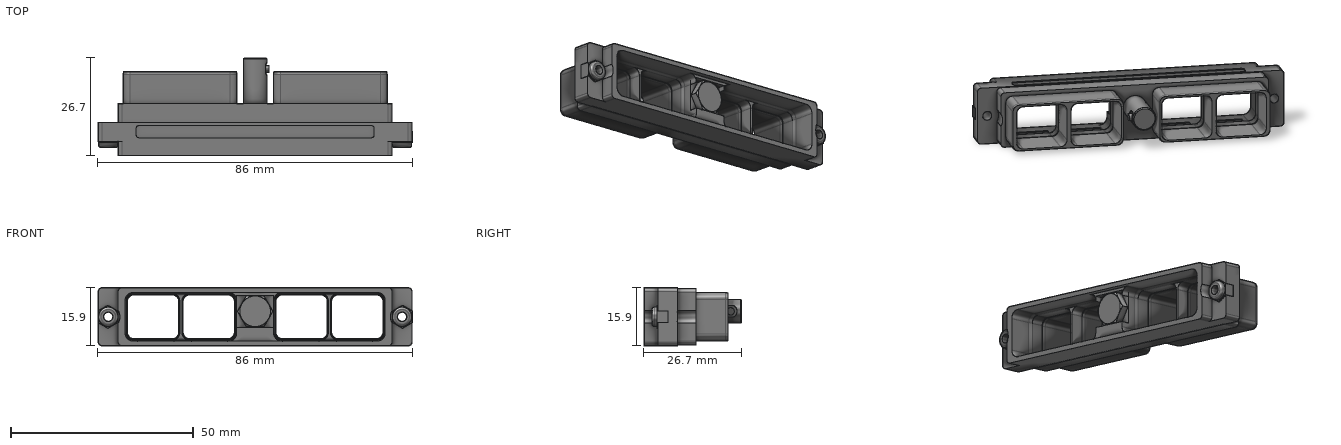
import cadquery as cq
import math


FLANGE_LENGTH = 85.9
FLANGE_FRONT = 3.87
FLANGE_BACK = 9.1
BODY_LENGTH = 75.0
BODY_HEIGHT = 15.93
BODY_BACK = 14.25
REAR_HEIGHT = 15.5
BODY_CORNER = 1.1

HOUSING_INNER = 4.97
HOUSING_OUTER = 36.15
HOUSING_HEIGHT = 13.34
HOUSING_BACK = 23.0
HOUSING_CORNER = 1.9
HOUSING_BEVEL_DEPTH = 0.75
HOUSING_BEVEL_INSET = 0.15

CAVITY_INNER = 5.05
CAVITY_OUTER = 35.6
CAVITY_HEIGHT = 13.26
CAVITY_CORNER = 2.2
MOUTH_DEPTH = 1.75
BEVEL_FRONT = 6.6
BEVEL_BACK = 7.7
BEVEL_INSET = 0.33
BAY_STEP = 11.5
BAY_STEP_INSET = 0.15
LEAD_IN_BACK = 12.4
LEAD_IN_INSET = 0.15
BAY_CORNER = 1.95
SEPARATOR_WIDTH = 0.6

SLOT_CENTERS = (-27.2, -12.5, 12.5, 27.2)
SLOT_LENGTH = 9.9
SLOT_FRONT = 4.2
SLOT_BACK = 5.7
SLOT_DEPTH = 0.3

PIN_Z = 1.5
PIN_RADIUS = 3.25
PIN_BACK = 26.71
PIN_BEVEL = 0.3
HEAD_FLATS = 8.4
HEAD_CORNER_ANGLE = 0
HEAD_FRONT = 1.9
HEAD_BEVEL_HEIGHT = 0.3
NOTCH_BOTTOM = -2.98
NOTCH_TOP = 5.84
NOTCH_BACK = 4.2
KEY_Y = 23.7
KEY_RADIUS = 1.0
KEY_REACH = 3.8
KEY_SEAT_RADIUS = 1.75
KEY_SEAT_REACH = 2.85

BORE_X = 40.2
BORE_RADIUS = 1.25
HEX_FLATS = 5.45
HEX_CORNER_ANGLE = 30
HEX_OFFSET = 0.125
HEX_FRONT = 3.55
HEX_BACK = 6.6
HEX_WINDOW_HEIGHT = 4.0
HEX_WINDOW_DEPTH = 0.1
COLLAR_RADIUS = 2.65
COLLAR_FRONT = 2.2
COLLAR_ROUND = 0.65
RELIEF_RADIUS = 3.2

LABEL_LENGTH = 65.1
LABEL_FRONT = 4.86
LABEL_BACK = 8.25
LABEL_CORNER = 0.8
LABEL_DEPTH = 0.3

SIDES = (-1, 1)
CAVITY_LENGTH = CAVITY_OUTER - CAVITY_INNER
BAY_LENGTH = (CAVITY_LENGTH - 2 * BEVEL_INSET - SEPARATOR_WIDTH) / 2
BAY_HEIGHT = CAVITY_HEIGHT - 2 * BEVEL_INSET
PAIR_CENTER = (CAVITY_OUTER + CAVITY_INNER) / 2
BAY_SPACING = BAY_LENGTH + SEPARATOR_WIDTH
BAY_CENTERS = [side * PAIR_CENTER + half * BAY_SPACING / 2 for side in SIDES for half in SIDES]


def block(length, height, front, back, center_x=0.0, center_z=0.0):
    """Box of the given X length and Z height between two Y planes."""
    middle = (center_x, (front + back) / 2, center_z)
    return cq.Workplane("XY").box(length, back - front, height).translate(middle)


def rounded_block(length, height, front, back, corner, center_x=0.0):
    return block(length, height, front, back, center_x).edges("|Y").fillet(corner)


def plane_at(y):
    """Workplane at a Y position whose extrusions run toward +Y; its local y axis is -Z."""
    return cq.Workplane(cq.Plane(origin=(0, y, 0), xDir=(1, 0, 0), normal=(0, 1, 0)))


def tapered_block(length, height, front, back, corner, inset, center_x):
    """Rounded block whose four sides lean in by inset from its front to its back."""
    outline = cq.Sketch().rect(length, height).vertices().fillet(corner)
    depth = back - front
    angle = math.degrees(math.atan(inset / depth))
    return plane_at(front).center(center_x, 0).placeSketch(outline).extrude(depth, taper=angle)


def cylinder(radius, front, back, x, z=0.0):
    return plane_at(front).center(x, -z).circle(radius).extrude(back - front)


def hexagon_corner_radius(flats):
    return flats / math.sqrt(3)


def hexagon(flats, front, back, x, z, first_corner):
    """Hexagonal prism along Y; first_corner is the angle of one corner from +X."""
    corner_radius = hexagon_corner_radius(flats)
    angles = [math.radians(first_corner + 60 * index) for index in range(6)]
    corners = [(x + corner_radius * math.cos(a), -z - corner_radius * math.sin(a)) for a in angles]
    return plane_at(front).polyline(corners).close().extrude(back - front)


def make_body():
    """Front and rear shells with round end reliefs that clear the inserts, joined by the flange."""
    flange = rounded_block(FLANGE_LENGTH, BODY_HEIGHT, FLANGE_FRONT, FLANGE_BACK, BODY_CORNER)
    front = rounded_block(BODY_LENGTH, BODY_HEIGHT, 0, FLANGE_BACK, BODY_CORNER)
    rear = rounded_block(BODY_LENGTH, REAR_HEIGHT, FLANGE_BACK, BODY_BACK, BODY_CORNER)
    body = front.union(rear)
    for side in SIDES:
        body = body.cut(cylinder(RELIEF_RADIUS, 0, BODY_BACK, side * BORE_X))
    return body.union(flange)


def make_housing(side):
    length = HOUSING_OUTER - HOUSING_INNER
    center = side * (HOUSING_OUTER + HOUSING_INNER) / 2
    housing = rounded_block(length, HOUSING_HEIGHT, FLANGE_BACK, HOUSING_BACK, HOUSING_CORNER, center)
    return housing.faces(">Y").chamfer(HOUSING_BEVEL_INSET, HOUSING_BEVEL_DEPTH)


def make_cavities():
    """Full-width mouth and the two cavities behind it, each narrowing at its rear bevel."""
    cavities = rounded_block(2 * CAVITY_OUTER, CAVITY_HEIGHT, 0, MOUTH_DEPTH, CAVITY_CORNER)
    for side in SIDES:
        center = side * PAIR_CENTER
        cavity = rounded_block(CAVITY_LENGTH, CAVITY_HEIGHT, 0, BEVEL_FRONT, CAVITY_CORNER, center)
        bevel = tapered_block(
            CAVITY_LENGTH, CAVITY_HEIGHT, BEVEL_FRONT, BEVEL_BACK, CAVITY_CORNER, BEVEL_INSET, center
        )
        cavities = cavities.union(cavity).union(bevel)
    return cavities


def make_bay(center):
    """Through opening of one bay: front section, stepped lead-in and narrower rear section."""
    front = rounded_block(BAY_LENGTH, BAY_HEIGHT, BEVEL_BACK, BAY_STEP, BAY_CORNER, center)
    lead_in = tapered_block(
        BAY_LENGTH - 2 * BAY_STEP_INSET,
        BAY_HEIGHT - 2 * BAY_STEP_INSET,
        BAY_STEP,
        LEAD_IN_BACK,
        BAY_CORNER,
        LEAD_IN_INSET,
        center,
    )
    rear_inset = BAY_STEP_INSET + LEAD_IN_INSET
    rear_length = BAY_LENGTH - 2 * rear_inset
    rear_height = BAY_HEIGHT - 2 * rear_inset
    rear_corner = BAY_CORNER - LEAD_IN_INSET
    rear = rounded_block(rear_length, rear_height, LEAD_IN_BACK, HOUSING_BACK, rear_corner, center)
    return front.union(lead_in).union(rear)


def make_floor_slot(center):
    floor = -CAVITY_HEIGHT / 2
    profile = cq.Workplane("YZ", origin=(center - SLOT_LENGTH / 2, 0, 0)).polyline(
        [(SLOT_FRONT, floor), (SLOT_BACK, floor), (SLOT_FRONT, floor - SLOT_DEPTH)]
    )
    return profile.close().extrude(SLOT_LENGTH)


def make_label_recess():
    depth = LABEL_BACK - LABEL_FRONT
    recess = cq.Workplane("XY").box(LABEL_LENGTH, depth, LABEL_DEPTH).edges("|Z").fillet(LABEL_CORNER)
    return recess.translate((0, (LABEL_FRONT + LABEL_BACK) / 2, (BODY_HEIGHT - LABEL_DEPTH) / 2))


def make_notch():
    height = NOTCH_TOP - NOTCH_BOTTOM
    return block(2 * CAVITY_INNER, height, MOUTH_DEPTH, NOTCH_BACK, 0, (NOTCH_TOP + NOTCH_BOTTOM) / 2)


def make_guide_pin():
    """Pin with a seated side key at the rear and a corner-rounded hex head at the front."""
    shaft = cylinder(PIN_RADIUS, NOTCH_BACK, PIN_BACK, 0, PIN_Z).faces(">Y").chamfer(PIN_BEVEL)
    seat = cq.Workplane("YZ", origin=(KEY_SEAT_REACH, 0, 0)).center(KEY_Y, PIN_Z)
    shaft = shaft.cut(seat.circle(KEY_SEAT_RADIUS).extrude(PIN_RADIUS))
    key = cq.Workplane("YZ").center(KEY_Y, PIN_Z).circle(KEY_RADIUS).extrude(KEY_REACH)
    head = hexagon(HEAD_FLATS, HEAD_FRONT, NOTCH_BACK, 0, PIN_Z, HEAD_CORNER_ANGLE)
    corner_radius = hexagon_corner_radius(HEAD_FLATS)
    corner_spread = corner_radius - HEAD_FLATS / 2
    envelope = cylinder(corner_radius, HEAD_FRONT, NOTCH_BACK, 0, PIN_Z)
    envelope = envelope.faces("<Y").chamfer(HEAD_BEVEL_HEIGHT, corner_spread)
    return shaft.union(key).union(head.intersect(envelope))


def make_insert(side):
    """Hex nut, set slightly toward the end of its ear, around a round-nosed collar on the bore axis."""
    nut = hexagon(HEX_FLATS, HEX_FRONT, HEX_BACK, side * (BORE_X + HEX_OFFSET), 0, HEX_CORNER_ANGLE)
    collar = cylinder(COLLAR_RADIUS, COLLAR_FRONT, HEX_BACK, side * BORE_X)
    return nut.union(collar.faces("<Y").edges().fillet(COLLAR_ROUND))


def make_left_trim():
    """Cut that ends the left insert just inside the flange end, leaving a shallow window there."""
    window_end = FLANGE_LENGTH / 2 - HEX_WINDOW_DEPTH
    excess = block(HEX_FLATS, HEX_FLATS, 0, FLANGE_FRONT, -(FLANGE_LENGTH + HEX_FLATS) / 2)
    window = block(HEX_FLATS, HEX_WINDOW_HEIGHT, HEX_FRONT, HEX_BACK, -(window_end + HEX_FLATS / 2))
    return excess.union(window)


shell = make_body()
for side in SIDES:
    shell = shell.union(make_housing(side))
shell = shell.cut(make_cavities())
for center in BAY_CENTERS:
    shell = shell.cut(make_bay(center))
for center in SLOT_CENTERS:
    shell = shell.cut(make_floor_slot(center))
shell = shell.cut(make_notch()).cut(make_label_recess())
shell = shell.union(make_guide_pin())
shell = shell.union(make_insert(-1)).cut(make_left_trim()).union(make_insert(1))
for side in SIDES:
    shell = shell.cut(cylinder(BORE_RADIUS, 0, FLANGE_BACK, side * BORE_X))

result = shell